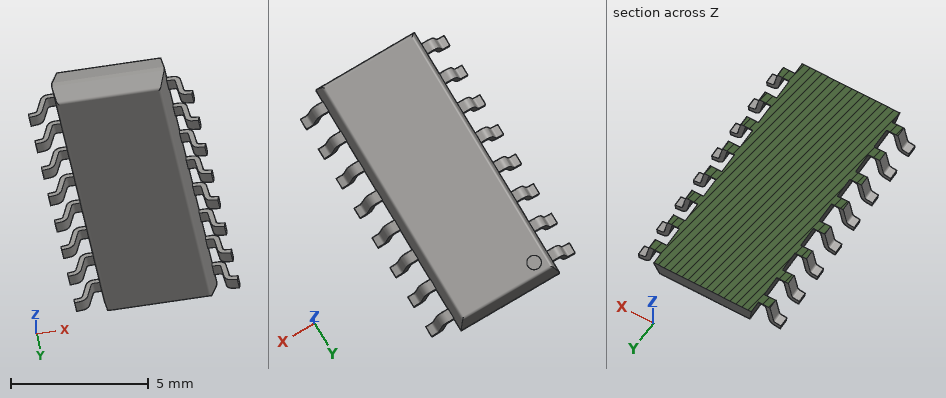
import cadquery as cq
import math


BODY_WIDTH = 4.15
BODY_LENGTH = 10.3
TOP_Z = 1.95
STANDOFF = 0.15
DRAFT_ANGLE = 12
EDGE_RADIUS = 0.1

LEADS_PER_SIDE = 8
PITCH = 1.27
SPAN = 6.06
LEAD_WIDTH = 0.42
LEAD_THICKNESS = 0.2
BEND_RADIUS = 0.2
LEG_SLOPE = math.radians(90 - DRAFT_ANGLE)
FOOT_SLOPE = math.radians(8)
FOOT_LENGTH = 0.235
EMBED_DEPTH = 0.3

MARK_DIAMETER = 0.53
MARK_DEPTH = 0.01
MARK_INSET_X = 0.68
MARK_INSET_Y = 0.66

MID_Z = (TOP_Z + STANDOFF) / 2
HALF_THICKNESS = LEAD_THICKNESS / 2
HALF_HEIGHT = (TOP_Z - STANDOFF) / 2 - HALF_THICKNESS


def body():
    """Straight parting band with a drafted, round-edged half above and below."""
    band = cq.Workplane("XY", origin=(0, 0, MID_Z)).box(BODY_WIDTH, BODY_LENGTH, LEAD_THICKNESS)
    upper = (
        band.faces(">Z").workplane().rect(BODY_WIDTH, BODY_LENGTH)
        .extrude(HALF_HEIGHT, taper=DRAFT_ANGLE, combine=False)
        .faces(">Z").edges().fillet(EDGE_RADIUS)
    )
    lower = upper.mirror("XY", (0, 0, MID_Z))
    return band.union(upper).union(lower)


def move(point, distance, slope):
    """Point reached by going outward along a line that falls at the given angle."""
    return (point[0] + distance * math.cos(slope), point[1] - distance * math.sin(slope))


def bend_chord(start_slope, end_slope):
    """Length and slope of the chord across a bend between two slopes."""
    length = 2 * BEND_RADIUS * math.sin(abs(end_slope - start_slope) / 2)
    return length, (start_slope + end_slope) / 2


def lead_path():
    """Mid-thickness line of a +X lead, from inside the body down to the toe."""
    shoulder_chord, shoulder_slope = bend_chord(0, LEG_SLOPE)
    heel_chord, heel_slope = bend_chord(LEG_SLOPE, FOOT_SLOPE)

    toe = (SPAN / 2 - HALF_THICKNESS * math.sin(FOOT_SLOPE), HALF_THICKNESS * math.cos(FOOT_SLOPE))
    heel_end = move(toe, -FOOT_LENGTH, FOOT_SLOPE)
    leg_end = move(heel_end, -heel_chord, heel_slope)
    leg_start_z = MID_Z - shoulder_chord * math.sin(shoulder_slope)
    leg_length = (leg_start_z - leg_end[1]) / math.sin(LEG_SLOPE)
    leg_start = move(leg_end, -leg_length, LEG_SLOPE)
    shoulder_start = move(leg_start, -shoulder_chord, shoulder_slope)

    return (
        cq.Workplane("XZ")
        .moveTo(BODY_WIDTH / 2 - EMBED_DEPTH, MID_Z)
        .lineTo(*shoulder_start)
        .tangentArcPoint(leg_start, relative=False)
        .lineTo(*leg_end)
        .tangentArcPoint(heel_end, relative=False)
        .lineTo(*toe)
    )


def lead():
    """One +X lead centred on Y = 0."""
    section = cq.Workplane("YZ", origin=(BODY_WIDTH / 2 - EMBED_DEPTH, 0, MID_Z))
    return section.rect(LEAD_WIDTH, LEAD_THICKNESS).sweep(lead_path())


def pin_one_mark():
    """Cutter for the recess near the -X, +Y corner of the top face."""
    centre_x = MARK_INSET_X - BODY_WIDTH / 2
    centre_y = BODY_LENGTH / 2 - MARK_INSET_Y
    floor = cq.Workplane("XY", origin=(centre_x, centre_y, TOP_Z - MARK_DEPTH))
    return floor.circle(MARK_DIAMETER / 2).extrude(MARK_DEPTH)


result = body().cut(pin_one_mark())
right_lead = lead()
left_lead = right_lead.mirror("YZ")
for index in range(LEADS_PER_SIDE):
    lead_y = (index - (LEADS_PER_SIDE - 1) / 2) * PITCH
    for side_lead in (right_lead, left_lead):
        result = result.union(side_lead.translate((0, lead_y, 0)))